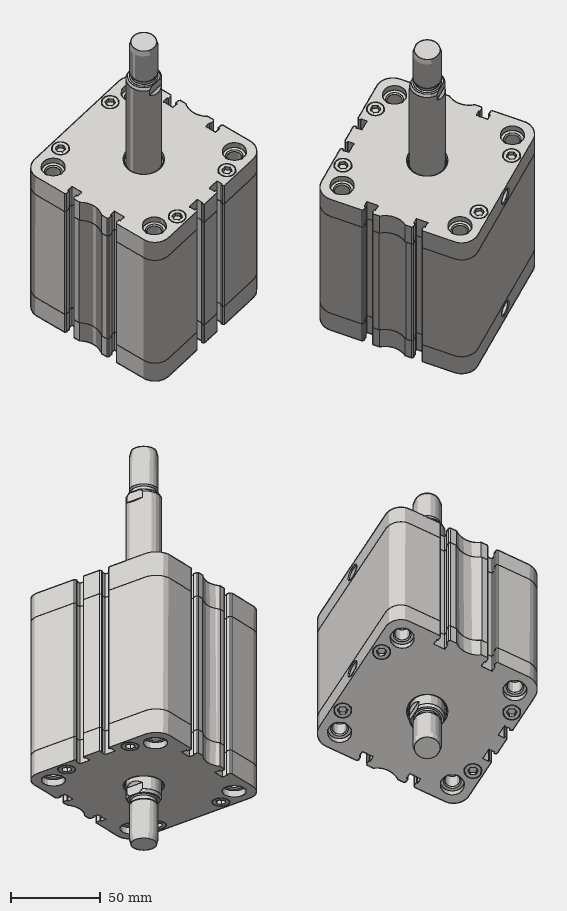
import cadquery as cq
import math


HOUSING_SIDE = 95.5
HOUSING_HEIGHT = 114.3
CAP_HEIGHT = 15.0
CORNER_RADIUS = 10.0
BARREL_HEIGHT = HOUSING_HEIGHT - 2 * CAP_HEIGHT

SLOT_NECK_WIDTH = 5.2
SLOT_WIDTH = 7.0
SLOT_MOUTH_CHAMFER = 0.7
Y_SLOT_OFFSET = 15.1
Y_SLOT_DEPTH = 6.7
Y_SLOT_NECK_DEPTH = 3.2
X_SLOT_OFFSET = 9.0
X_SLOT_DEPTH = 5.5
X_SLOT_NECK_DEPTH = 1.7
SCALLOP_RADIUS = 12.52
SCALLOP_DEPTH = 2.7
SCALLOP_EDGE_CHAMFER = 0.7

MOUNT_SPACING = 72.0
MOUNT_BORE_DIAMETER = 13.5
MOUNT_BORE_DEPTH = 4.0
MOUNT_HOLE_DIAMETER = 8.5
MOUNT_RIM_DIAMETER = 10.0
SCREW_SPACING_X = 83.0
SCREW_SPACING_Y = 44.6
SCREW_RECESS_DIAMETER = 10.0
SCREW_HEAD_DIAMETER = 9.5
SCREW_GAP_DEPTH = 1.2
SOCKET_WIDTH = 5.0
SOCKET_DEPTH = 2.5
PORT_DEPTH_BELOW_FACE = 8.2
PORT_RIM_DIAMETER = 10.0
PORT_DIAMETER = 8.7
PORT_DEPTH = 10.0
ROD_HOLE_RIM_DIAMETER = 23.0
ROD_RECESS_DIAMETER = 21.8
ROD_RECESS_DEPTH = 2.5

ROD_DIAMETER = 20.0
THREAD_DIAMETER = 16.0
THREAD_LENGTH = 28.0
NECK_DIAMETER = 14.5
NECK_LENGTH = 3.7
TIP_DIAMETER = 14.5
TIP_CHAMFER_LENGTH = 3.5
SHOULDER_CHAMFER = 1.0
SHOULDER_CHAMFER_LENGTH = 1.7
NECK_FOOT_CHAMFER = 0.7
UPPER_STUB = 68.7
LOWER_STUB = 9.0
FLAT_WIDTH = 16.9
FLAT_LENGTH = 5.7


def t_slot(neck_depth, depth):
    """T-slot cutter of the housing's full height, opening with a chamfered mouth at Y = 0 into -Y."""
    half_neck = SLOT_NECK_WIDTH / 2
    half_slot = SLOT_WIDTH / 2
    half_mouth = half_neck + SLOT_MOUTH_CHAMFER
    right_side = [
        (half_mouth, 0),
        (half_neck, -SLOT_MOUTH_CHAMFER),
        (half_neck, -neck_depth),
        (half_slot, -neck_depth),
        (half_slot, -depth),
    ]
    left_side = [(-x, y) for x, y in reversed(right_side)]
    return cq.Workplane("XY").polyline(right_side + left_side).close().extrude(HOUSING_HEIGHT)


def scallop(edge_chamfer):
    """Cutter for the shallow round groove in the +Y face, widened by a chamfer at its two edges."""
    half_side = HOUSING_SIDE / 2
    cutter = (
        cq.Workplane("XY")
        .center(0, half_side - SCALLOP_DEPTH + SCALLOP_RADIUS)
        .circle(SCALLOP_RADIUS)
        .extrude(HOUSING_HEIGHT)
    )
    if edge_chamfer > 0:
        chord_height = half_side - edge_chamfer
        drop = SCALLOP_RADIUS - SCALLOP_DEPTH + edge_chamfer
        half_chord = math.sqrt(SCALLOP_RADIUS**2 - drop**2)
        half_mouth = half_chord + 2 * edge_chamfer
        mouth = (
            cq.Workplane("XY")
            .polyline(
                [
                    (-half_chord, chord_height),
                    (half_chord, chord_height),
                    (half_mouth, half_side),
                    (-half_mouth, half_side),
                ]
            )
            .close()
            .extrude(HOUSING_HEIGHT)
        )
        cutter = cutter.union(mouth)
    return cutter


def housing_section(bottom, height, scallop_chamfer):
    """Slotted housing block from Z = bottom."""
    half_side = HOUSING_SIDE / 2
    block = (
        cq.Workplane("XY")
        .box(HOUSING_SIDE, HOUSING_SIDE, height, centered=(True, True, False))
        .edges("|Z")
        .fillet(CORNER_RADIUS)
        .translate((0, 0, bottom))
    )
    y_slot = t_slot(Y_SLOT_NECK_DEPTH, Y_SLOT_DEPTH)
    y_cutters = scallop(scallop_chamfer)
    for x in (-Y_SLOT_OFFSET, Y_SLOT_OFFSET):
        y_cutters = y_cutters.union(y_slot.translate((x, half_side, 0)))
    block = block.cut(y_cutters).cut(y_cutters.mirror("XZ"))

    x_slot = t_slot(X_SLOT_NECK_DEPTH, X_SLOT_DEPTH).rotate((0, 0, 0), (0, 0, 1), -90)
    for y in (-X_SLOT_OFFSET, X_SLOT_OFFSET):
        block = block.cut(x_slot.translate((half_side, y, 0)))
    return block


def make_barrel():
    barrel = housing_section(CAP_HEIGHT, BARREL_HEIGHT, SCALLOP_EDGE_CHAMFER)
    bore = cq.Workplane("XY").circle(ROD_DIAMETER / 2).extrude(HOUSING_HEIGHT)
    return barrel.cut(bore)


def cone(large_diameter, small_diameter):
    """45-degree countersink cutter, large end on Z = 0 and narrowing downwards."""
    large = large_diameter / 2
    small = small_diameter / 2
    return cq.Workplane("XY").add(
        cq.Solid.makeCone(large, small, large - small, pnt=cq.Vector(0, 0, 0), dir=cq.Vector(0, 0, -1))
    )


def make_upper_cap():
    top = HOUSING_HEIGHT
    cap = housing_section(top - CAP_HEIGHT, CAP_HEIGHT, 0)

    cap = cap.cut(cq.Workplane("XY").circle(ROD_DIAMETER / 2).extrude(top))
    cap = cap.cut(cone(ROD_HOLE_RIM_DIAMETER, ROD_RECESS_DIAMETER).translate((0, 0, top)))
    face = cq.Workplane("XY").workplane(offset=top)
    cap = cap.cut(face.circle(ROD_RECESS_DIAMETER / 2).extrude(-ROD_RECESS_DEPTH))

    mounts = face.rect(MOUNT_SPACING, MOUNT_SPACING, forConstruction=True).vertices()
    cap = cap.cut(mounts.circle(MOUNT_BORE_DIAMETER / 2).extrude(-MOUNT_BORE_DEPTH))
    cap = cap.cut(mounts.circle(MOUNT_HOLE_DIAMETER / 2).extrude(-CAP_HEIGHT))
    rim = cone(MOUNT_RIM_DIAMETER, MOUNT_HOLE_DIAMETER)
    half_mount = MOUNT_SPACING / 2
    for x in (-half_mount, half_mount):
        for y in (-half_mount, half_mount):
            cap = cap.cut(rim.translate((x, y, top - MOUNT_BORE_DEPTH)))

    screws = face.rect(SCREW_SPACING_X, SCREW_SPACING_Y, forConstruction=True).vertices()
    gap = (
        screws.circle(SCREW_RECESS_DIAMETER / 2).circle(SCREW_HEAD_DIAMETER / 2).extrude(-SCREW_GAP_DEPTH)
    )
    cap = cap.cut(gap)
    socket = (
        cq.Workplane("XY")
        .polygon(6, SOCKET_WIDTH / math.cos(math.pi / 6))
        .extrude(-SOCKET_DEPTH)
        .rotate((0, 0, 0), (0, 0, 1), 30)
    )
    for x in (-SCREW_SPACING_X / 2, SCREW_SPACING_X / 2):
        for y in (-SCREW_SPACING_Y / 2, SCREW_SPACING_Y / 2):
            cap = cap.cut(socket.translate((x, y, top)))

    port = cq.Workplane("XY").circle(PORT_DIAMETER / 2).extrude(-PORT_DEPTH)
    port = port.union(cone(PORT_RIM_DIAMETER, PORT_DIAMETER)).rotate((0, 0, 0), (0, 1, 0), -90)
    return cap.cut(port.translate((-HOUSING_SIDE / 2, 0, top - PORT_DEPTH_BELOW_FACE)))


def make_lower_cap(upper_cap):
    return upper_cap.mirror("XY", (0, 0, HOUSING_HEIGHT / 2))


def rod_tip(shoulder, direction):
    """Outline points (radius, Z) from the rod's shoulder edge outwards to the tip."""
    points = [
        (ROD_DIAMETER / 2, -SHOULDER_CHAMFER_LENGTH),
        (ROD_DIAMETER / 2 - SHOULDER_CHAMFER, 0),
        (NECK_DIAMETER / 2 + NECK_FOOT_CHAMFER, 0),
        (NECK_DIAMETER / 2, NECK_FOOT_CHAMFER),
        (NECK_DIAMETER / 2, NECK_LENGTH - (THREAD_DIAMETER - NECK_DIAMETER) / 2),
        (THREAD_DIAMETER / 2, NECK_LENGTH),
        (THREAD_DIAMETER / 2, THREAD_LENGTH - TIP_CHAMFER_LENGTH),
        (TIP_DIAMETER / 2, THREAD_LENGTH),
        (0, THREAD_LENGTH),
    ]
    return [(radius, shoulder + direction * height) for radius, height in points]


def flat_cutter(shoulder, direction):
    """Pair of wrench-flat cutters with 45-degree run-outs, reaching inwards from a shoulder."""
    half_flat = FLAT_WIDTH / 2
    past = ROD_DIAMETER / 2 - half_flat + SHOULDER_CHAMFER
    outline = [
        (half_flat, SHOULDER_CHAMFER),
        (half_flat, -FLAT_LENGTH),
        (half_flat + past, -FLAT_LENGTH - past),
        (half_flat + past, SHOULDER_CHAMFER),
    ]
    one_side = (
        cq.Workplane("XZ")
        .polyline([(x, shoulder + direction * z) for x, z in outline])
        .close()
        .extrude(ROD_DIAMETER / 2, both=True)
    )
    return one_side.union(one_side.mirror("YZ"))


def make_rod():
    ends = ((HOUSING_HEIGHT + UPPER_STUB, 1), (-LOWER_STUB, -1))
    upper_tip, lower_tip = [rod_tip(shoulder, direction) for shoulder, direction in ends]
    rod = cq.Workplane("XZ").polyline(lower_tip[::-1] + upper_tip).close()
    rod = rod.revolve(360, (0, 0, 0), (0, 1, 0))
    for shoulder, direction in ends:
        rod = rod.cut(flat_cutter(shoulder, direction))
    return rod


barrel = make_barrel()
upper_cap = make_upper_cap()
lower_cap = make_lower_cap(upper_cap)
rod = make_rod()

result = cq.Compound.makeCompound([barrel.val(), upper_cap.val(), lower_cap.val(), rod.val()])